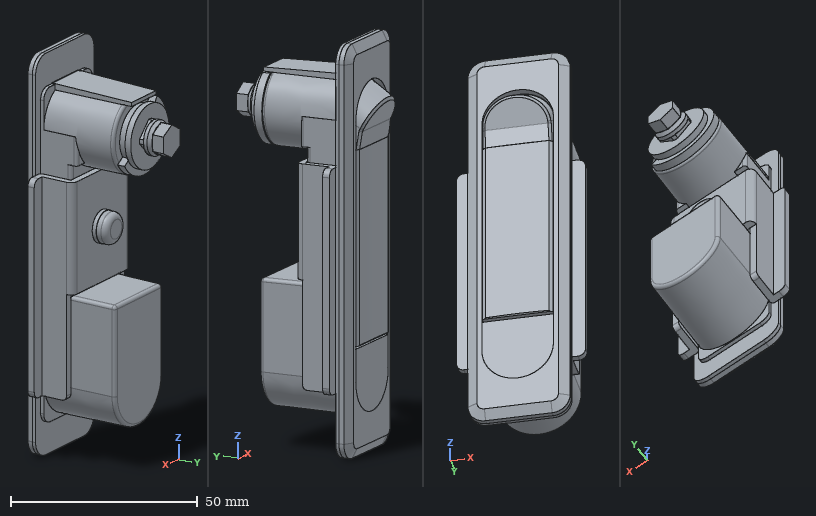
import cadquery as cq
import math


PLATE_LENGTH = 114.0
PLATE_WIDTH = 28.0
PLATE_CORNER = 4.9
PLATE_FRONT = -4.0
PLATE_BEVEL_DEPTH = 1.5
PLATE_BEVEL_WIDTH = 2.8
GASKET_THICKNESS = 1.0
FIT_GAP = 0.1

PICK = 0.1

POCKET_RADIUS = 9.8
POCKET_END = 45.6
POCKET_FLOOR = -1.7
BUTTON_TOP = -26.7

CASE_RADIUS = 11.6
CASE_DRAFT = 0.5
AXIS_Z = 36.1
BARREL_REAR = 23.4
STOP_HALF_WIDTH = 6.3
STOP_BOTTOM = 9.5
STOP_REAR = 25.5
STOP_DRAFT = 0.8
STOP_CREST_FRONT = 47.8
STOP_CREST_REAR = 47.1
SPINE_REAR = 9.9
SPINE_EDGE = 1.1
SHOULDER_REAR = 11.7
SHOULDER_BOTTOM = 27.8
SHOULDER_EDGE = 0.9
BOX_TOP = -9.3
BOX_ROUND_Z = -35.3
BOX_REAR = 23.9
BOX_EDGE = 1.0
COLLAR_END = 47.5
COLLAR_CORNER = 3.1
COLLAR_REAR = 1.0

HANDLE_GAP = 0.7
HANDLE_BOTTOM = BUTTON_TOP + HANDLE_GAP
HANDLE_RADIUS = POCKET_RADIUS - FIT_GAP
HANDLE_FLAT = 8.7
HANDLE_EDGE_FRONT = -4.0
HANDLE_SIDE_FRONT = -4.6
HANDLE_CROWN_FRONT = -4.7
HANDLE_END_BEVEL = 0.3
RAMP_BOTTOM = 28.0
GRIP_FOOT_Y = -5.4
GRIP_FOOT_Z = 33.1
GRIP_END_Z = 45.0
LIP_END_Y = -11.4
LIP_END_TOP = 39.3
LIP_END_RADIUS = 8.7
GRIP_RIM = 0.7

SHEET = 2.0
WEB_REAR = SPINE_REAR + SHEET
BRACKET_WIDTH = 35.5
BRACKET_INNER_HALF = 11.9
BRACKET_TOP = 23.7
BRACKET_BOTTOM = -38.4
WEB_BOTTOM = -8.2
FLANGE_CORNER = 2.0
LEG_CORNER = 1.5
FLANGE_BEND = 1.1

SCREW_Z = 7.6
SCREW_WASHER_RADIUS = 4.7
SCREW_WASHER_THICKNESS = 1.3
SCREW_SEAT = WEB_REAR + SCREW_WASHER_THICKNESS
SCREW_HEAD_RADIUS = 4.6
SCREW_HEAD_HEIGHT = 3.3
SCREW_DOME = 1.8

ROTOR_RADIUS = 11.3
ROTOR_NOTCH_RADIUS = 8.4
ROTOR_NOTCH_START = -33.0
ROTOR_NOTCH_END = 123.0
ROTOR_REAR = 25.6
FLANGE_RADIUS = 9.2
FLANGE_REAR = 27.5
SQUARE_SIDE = 8.0
SQUARE_TURNED_RADIUS = 5.0
SQUARE_REAR = 28.7
BOLT_WASHER_REAR = 29.9
BOLT_COLLAR_SMALL = 4.3
BOLT_COLLAR_REAR = 31.0
HEX_CORNERS = 9.5
BOLT_REAR = 34.5


def face_at(y, z=0):
    """Sketch plane facing +Y whose local y axis is Z (its local x axis is -X)."""
    return cq.Workplane(cq.Plane(origin=(0, y, z), xDir=(-1, 0, 0), normal=(0, 1, 0)))


def box(x0, x1, y0, y1, z0, z1):
    """Axis-aligned box between two opposite corners."""
    return cq.Workplane("XY").box(x1 - x0, y1 - y0, z1 - z0, centered=False).translate((x0, y0, z0))


def disc(radius, y0, y1, z):
    """Round disc around an axis along Y."""
    return face_at(y0, z).circle(radius).extrude(y1 - y0)


def plate_blank(y0, y1):
    """Plate with the rounded outline shared by face plate and gasket."""
    blank = face_at(y0).rect(PLATE_WIDTH, PLATE_LENGTH).extrude(y1 - y0)
    return blank.edges("|Y").fillet(PLATE_CORNER)


def pocket_shape(radius, y0, y1):
    """Long slot with round ends, centred on the face plate."""
    end = POCKET_END - (POCKET_RADIUS - radius)
    return face_at(y0).slot2D(2 * end, 2 * radius, 90).extrude(y1 - y0)


def collar(y0, y1):
    """Rounded foot of the case, which passes through the gasket."""
    foot = face_at(y0).rect(2 * CASE_RADIUS, 2 * COLLAR_END).extrude(y1 - y0)
    return foot.edges("|Y").fillet(COLLAR_CORNER)


def make_face_plate():
    plate = plate_blank(PLATE_FRONT, -GASKET_THICKNESS)
    return plate.faces("<Y").chamfer(PLATE_BEVEL_DEPTH, PLATE_BEVEL_WIDTH)


def make_barrel():
    barrel = face_at(0, AXIS_Z).circle(CASE_RADIUS).extrude(BARREL_REAR, taper=CASE_DRAFT)
    barrel = barrel.faces(">Y").edges().fillet(SHOULDER_EDGE)
    stop_height = CASE_RADIUS - STOP_BOTTOM
    stop = (
        face_at(0, AXIS_Z + CASE_RADIUS)
        .rect(2 * STOP_HALF_WIDTH, 2 * stop_height)
        .extrude(STOP_REAR, taper=STOP_DRAFT)
    )
    rotor_room = disc(STOP_BOTTOM, BARREL_REAR, STOP_REAR, AXIS_Z)
    crest_cut = (
        cq.Workplane("YZ", origin=(-CASE_RADIUS, 0, 0))
        .moveTo(0, STOP_CREST_FRONT)
        .lineTo(STOP_REAR, STOP_CREST_REAR)
        .lineTo(STOP_REAR, AXIS_Z + 2 * CASE_RADIUS)
        .lineTo(0, AXIS_Z + 2 * CASE_RADIUS)
        .close()
        .extrude(2 * CASE_RADIUS)
    )
    return barrel.union(stop).cut(rotor_room).cut(crest_cut)


def make_spine():
    """Flat-sided body joining the barrel and the lower box."""
    spine = box(-CASE_RADIUS, CASE_RADIUS, 0, SPINE_REAR, BOX_ROUND_Z, AXIS_Z)
    spine = spine.edges("|Z and >Y").fillet(SPINE_EDGE)
    shoulder = box(-CASE_RADIUS, CASE_RADIUS, 0, SHOULDER_REAR, SHOULDER_BOTTOM, AXIS_Z)
    shoulder = shoulder.edges("|Z and >Y").fillet(SHOULDER_EDGE)
    return spine.union(shoulder)


def make_lower_box():
    lower = (
        face_at(0)
        .moveTo(-CASE_RADIUS, BOX_TOP)
        .lineTo(-CASE_RADIUS, BOX_ROUND_Z)
        .threePointArc((0, BOX_ROUND_Z - CASE_RADIUS), (CASE_RADIUS, BOX_ROUND_Z))
        .lineTo(CASE_RADIUS, BOX_TOP)
        .close()
        .extrude(BOX_REAR, taper=CASE_DRAFT)
    )
    top_corners = cq.selectors.BoxSelector(
        (-CASE_RADIUS, PICK, BOX_TOP - BOX_EDGE), (CASE_RADIUS, BOX_REAR - PICK, BOX_TOP + BOX_EDGE)
    )
    lower = lower.edges(top_corners).fillet(BOX_EDGE)
    return lower.faces(">Y").edges().fillet(BOX_EDGE)


def make_housing():
    housing = make_face_plate().union(collar(-GASKET_THICKNESS, COLLAR_REAR))
    housing = housing.union(make_spine()).union(make_barrel()).union(make_lower_box())
    return housing.cut(pocket_shape(POCKET_RADIUS, PLATE_FRONT, POCKET_FLOOR))


def make_gasket():
    return plate_blank(-GASKET_THICKNESS, 0).cut(collar(-GASKET_THICKNESS, 0))


def make_button():
    """Release button: lower end of the pocket, flush with the plate."""
    button = pocket_shape(POCKET_RADIUS, PLATE_FRONT, POCKET_FLOOR)
    window = box(-POCKET_RADIUS, POCKET_RADIUS, PLATE_FRONT, POCKET_FLOOR, -POCKET_END, BUTTON_TOP)
    return button.intersect(window)


def make_handle_bar():
    """Straight bar with bevelled sides and a slightly crowned front."""
    bar = (
        cq.Workplane("XY", origin=(0, 0, HANDLE_BOTTOM))
        .moveTo(-HANDLE_RADIUS, POCKET_FLOOR)
        .lineTo(-HANDLE_RADIUS, HANDLE_EDGE_FRONT)
        .lineTo(-HANDLE_FLAT, HANDLE_SIDE_FRONT)
        .threePointArc((0, HANDLE_CROWN_FRONT), (HANDLE_FLAT, HANDLE_SIDE_FRONT))
        .lineTo(HANDLE_RADIUS, HANDLE_EDGE_FRONT)
        .lineTo(HANDLE_RADIUS, POCKET_FLOOR)
        .close()
        .extrude(RAMP_BOTTOM - HANDLE_BOTTOM)
    )
    bevel = (
        cq.Workplane("YZ", origin=(-HANDLE_RADIUS, 0, 0))
        .moveTo(HANDLE_CROWN_FRONT, HANDLE_BOTTOM)
        .lineTo(HANDLE_CROWN_FRONT, HANDLE_BOTTOM + HANDLE_END_BEVEL)
        .lineTo(HANDLE_CROWN_FRONT + HANDLE_END_BEVEL, HANDLE_BOTTOM)
        .close()
        .extrude(2 * HANDLE_RADIUS)
    )
    return bar.cut(bevel)


def lip_outline(y, radius, top):
    """Round-topped outline of the finger lip, open toward the bar."""
    return (
        face_at(y, top - radius)
        .moveTo(-radius, 0)
        .threePointArc((0, radius), (radius, 0))
        .lineTo(radius, HANDLE_BOTTOM - top)
        .lineTo(-radius, HANDLE_BOTTOM - top)
        .close()
        .val()
    )


def make_handle_grip():
    """Round finger lip, narrowing as it leans out, undercut by a sloping grip face."""
    root = lip_outline(POCKET_FLOOR, HANDLE_RADIUS, POCKET_END - FIT_GAP)
    end = lip_outline(LIP_END_Y, LIP_END_RADIUS, LIP_END_TOP)
    lip = cq.Workplane(cq.Solid.makeLoft([root, end], True))
    profile = (
        cq.Workplane("YZ", origin=(-HANDLE_RADIUS, 0, 0))
        .moveTo(POCKET_FLOOR, RAMP_BOTTOM)
        .lineTo(HANDLE_SIDE_FRONT, RAMP_BOTTOM)
        .lineTo(GRIP_FOOT_Y, GRIP_FOOT_Z)
        .lineTo(LIP_END_Y, GRIP_END_Z)
        .lineTo(POCKET_FLOOR, GRIP_END_Z)
        .close()
        .extrude(2 * HANDLE_RADIUS)
    )
    lip = lip.intersect(profile)
    rim = cq.selectors.BoxSelector(
        (-HANDLE_RADIUS, LIP_END_Y, RAMP_BOTTOM + PICK), (HANDLE_RADIUS, HANDLE_CROWN_FRONT, GRIP_END_Z)
    )
    return lip.edges(rim).edges("not |X").chamfer(GRIP_RIM)


def make_handle():
    return make_handle_bar().union(make_handle_grip())


def make_bracket():
    """Hat-section sheet: two mounting flanges, two legs and a web behind the spine."""
    outer_half = BRACKET_INNER_HALF + SHEET
    length = BRACKET_TOP - BRACKET_BOTTOM
    half = BRACKET_WIDTH / 2
    flanges = box(-half, half, 0, SHEET, BRACKET_BOTTOM, BRACKET_TOP)
    flanges = flanges.edges("|Y").fillet(FLANGE_CORNER)
    hat = box(-outer_half, outer_half, 0, WEB_REAR, BRACKET_BOTTOM, BRACKET_TOP)
    hat = hat.edges("|Z and >Y").fillet(SHEET)
    tunnel = box(-BRACKET_INNER_HALF, BRACKET_INNER_HALF, 0, SPINE_REAR, BRACKET_BOTTOM, BRACKET_TOP)
    bracket = flanges.union(hat).cut(tunnel)
    web_cut = box(-outer_half, outer_half, SPINE_REAR, WEB_REAR, BRACKET_BOTTOM, WEB_BOTTOM)
    bracket = bracket.cut(web_cut)
    for side in (-1, 1):
        x = side * BRACKET_INNER_HALF
        bend = cq.selectors.BoxSelector((x - PICK, -PICK, -length), (x + PICK, PICK, length))
        bracket = bracket.edges(bend).fillet(FLANGE_BEND)
    leg_ends = cq.selectors.BoxSelector(
        (-half, SPINE_REAR - PICK, BRACKET_BOTTOM - PICK), (half, SPINE_REAR + PICK, BRACKET_BOTTOM + PICK)
    )
    return bracket.edges(leg_ends).fillet(LEG_CORNER)


def make_screw_washer():
    return disc(SCREW_WASHER_RADIUS, WEB_REAR, SCREW_SEAT, SCREW_Z)


def make_screw():
    head = disc(SCREW_HEAD_RADIUS, SCREW_SEAT, SCREW_SEAT + SCREW_HEAD_HEIGHT, SCREW_Z)
    return head.faces(">Y").edges().fillet(SCREW_DOME)


def rotor_point(radius, degrees):
    """Local sketch point; the angle is counted from +X toward +Z."""
    angle = math.radians(degrees)
    return (-radius * math.cos(angle), radius * math.sin(angle))


def make_shaft():
    """Rotor with a stop notch, round flange and square drive."""
    notch_middle = (ROTOR_NOTCH_START + ROTOR_NOTCH_END) / 2
    rotor = (
        face_at(BARREL_REAR, AXIS_Z)
        .moveTo(*rotor_point(ROTOR_NOTCH_RADIUS, ROTOR_NOTCH_START))
        .threePointArc(
            rotor_point(ROTOR_NOTCH_RADIUS, notch_middle),
            rotor_point(ROTOR_NOTCH_RADIUS, ROTOR_NOTCH_END),
        )
        .lineTo(*rotor_point(ROTOR_RADIUS, ROTOR_NOTCH_END))
        .threePointArc(
            rotor_point(ROTOR_RADIUS, notch_middle + 180),
            rotor_point(ROTOR_RADIUS, ROTOR_NOTCH_START),
        )
        .close()
        .extrude(ROTOR_REAR - BARREL_REAR)
    )
    flange = disc(FLANGE_RADIUS, ROTOR_REAR, FLANGE_REAR, AXIS_Z)
    square = (
        face_at(FLANGE_REAR, AXIS_Z)
        .transformed(rotate=(0, 0, 45))
        .rect(SQUARE_SIDE, SQUARE_SIDE)
        .extrude(SQUARE_REAR - FLANGE_REAR)
    )
    square = square.intersect(disc(SQUARE_TURNED_RADIUS, FLANGE_REAR, SQUARE_REAR, AXIS_Z))
    return rotor.union(flange).union(square)


def make_bolt_washer():
    return disc(SQUARE_TURNED_RADIUS, SQUARE_REAR, BOLT_WASHER_REAR, AXIS_Z)


def make_bolt():
    """Hex head with a corner pointing up, on a conical collar."""
    collar_height = BOLT_COLLAR_REAR - BOLT_WASHER_REAR
    slope = math.degrees(math.atan((SQUARE_TURNED_RADIUS - BOLT_COLLAR_SMALL) / collar_height))
    cone = face_at(BOLT_WASHER_REAR, AXIS_Z).circle(SQUARE_TURNED_RADIUS).extrude(collar_height, taper=slope)
    head = (
        face_at(BOLT_COLLAR_REAR, AXIS_Z)
        .transformed(rotate=(0, 0, 90))
        .polygon(6, HEX_CORNERS)
        .extrude(BOLT_REAR - BOLT_COLLAR_REAR)
    )
    return cone.union(head)


housing = make_housing()
gasket = make_gasket()
button = make_button()
handle = make_handle()
bracket = make_bracket()
screw_washer = make_screw_washer()
screw = make_screw()
shaft = make_shaft()
bolt_washer = make_bolt_washer()
bolt = make_bolt()

result = cq.Compound.makeCompound(
    [
        housing.val(),
        gasket.val(),
        button.val(),
        handle.val(),
        bracket.val(),
        screw_washer.val(),
        screw.val(),
        shaft.val(),
        bolt_washer.val(),
        bolt.val(),
    ]
)